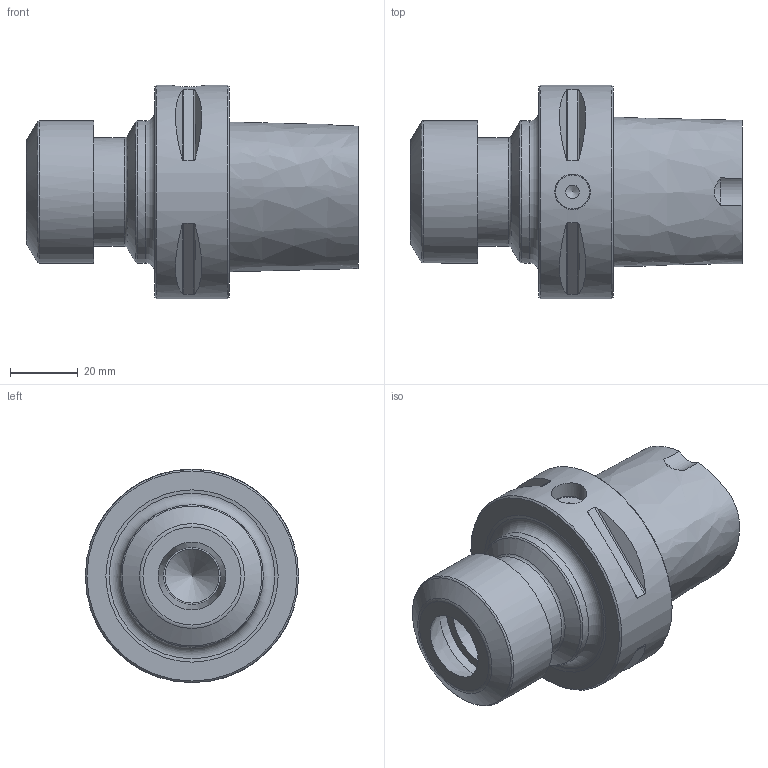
import cadquery as cq
import math

nose_x = -60.0
nut_length = 20.0
collar_start_x = -30.45
flange_width = 22.0
shank_length = 38.0

nut_radius = 42.0 / 2
neck_radius = 32.0 / 2
collar_radius = nut_radius
flange_radius = 63.0 / 2
nose_face_radius = 15.0
nose_cone_slope = 60.0
collar_cone_slope = 60.0

nose_inner_round = 2.0
nose_outer_round = 0.7
collar_inner_round = 1.0
collar_outer_round = 0.7
flange_chamfer = 0.5

relief_radius = 3.0
relief_depth = 0.14
relief_angle = 8.0

nut_mouth_radius = 20.0 / 2
nut_thread_radius = 30.5 / 2
nut_cone_angle = 30.0
seat_face_depth = 11.9
seat_mouth_radius = 12.5
seat_angle = 8.0
seat_end_radius = 8.45
drill_radius = 8.0
drill_length = 2.0
drill_tip_angle = 90.0

shank_base_diameter = 44.2
shank_taper = 1 / 20
lobe_height = 1.45
lobe_curve_points = 48

flange_feature_x = -12.0
groove_floor_offset = 27.8
groove_floor_width = 3.5
groove_floor_round = 0.5
groove_wall_slope = 30.0
groove_angles = (45, 135, 225, 315)
flange_hole_diameter = 10.5
flange_hole_depth = 5.0
floor_recess_diameter = 10.0
floor_recess_depth = 0.1
center_hole_diameter = 4.0
center_tip_angle = 118.0

notch_diameter = 12.0
notch_length = 6.3
notch_tip_angle = 90.0
notch_axis_height = 23.95

nut_back_x = nose_x + nut_length
flange_front_x = -flange_width
seat_face_x = nose_x + seat_face_depth


def cone_run(rise, angle):
    """Axial length of a cone that changes radius by rise at an angle from the axis."""
    return rise / math.tan(math.radians(angle))


def revolve_outline(outline):
    """Close a half outline drawn with X along the axis and Y as radius, and spin it."""
    return outline.close().revolve(360, (0, 0, 0), (1, 0, 0))


def round_ring(body, x, radius, round_radius):
    """Round the circular edge that lies at position x with the given radius."""
    margin = 0.01
    ring_box = cq.selectors.BoxSelector(
        (x - margin, -radius - margin, -radius - margin),
        (x + margin, radius + margin, radius + margin),
        boundingbox=True,
    )
    ring = body.edges(ring_box).edges(cq.selectors.RadiusNthSelector(-1))
    return ring.fillet(round_radius)


def turned_body():
    nose_cone_end_x = nose_x + cone_run(nut_radius - nose_face_radius, nose_cone_slope)
    collar_cone_end_x = collar_start_x + cone_run(collar_radius - neck_radius, collar_cone_slope)

    slope = math.radians(relief_angle)
    relief_end_x = flange_front_x + relief_depth
    relief_center_x = relief_end_x - relief_radius * math.cos(slope)
    relief_center_radius = collar_radius + relief_radius
    relief_end_radius = relief_center_radius + relief_radius * math.sin(slope)
    half_sweep = (slope - math.pi / 2) / 2
    relief_mid = (
        relief_center_x + relief_radius * math.cos(half_sweep),
        relief_center_radius + relief_radius * math.sin(half_sweep),
    )
    relief_rim_radius = relief_end_radius + relief_depth / math.tan(slope)

    outline = (
        cq.Workplane("XY")
        .moveTo(nose_x, 0)
        .lineTo(nose_x, nose_face_radius)
        .lineTo(nose_cone_end_x, nut_radius)
        .lineTo(nut_back_x, nut_radius)
        .lineTo(nut_back_x, neck_radius)
        .lineTo(collar_start_x, neck_radius)
        .lineTo(collar_cone_end_x, collar_radius)
        .lineTo(relief_center_x, collar_radius)
        .threePointArc(relief_mid, (relief_end_x, relief_end_radius))
        .lineTo(flange_front_x, relief_rim_radius)
        .lineTo(flange_front_x, flange_radius - flange_chamfer)
        .lineTo(flange_front_x + flange_chamfer, flange_radius)
        .lineTo(-flange_chamfer, flange_radius)
        .lineTo(0, flange_radius - flange_chamfer)
        .lineTo(0, 0)
    )
    body = revolve_outline(outline)
    body = round_ring(body, nose_x, nose_face_radius, nose_inner_round)
    body = round_ring(body, nose_cone_end_x, nut_radius, nose_outer_round)
    body = round_ring(body, collar_start_x, neck_radius, collar_inner_round)
    return round_ring(body, collar_cone_end_x, collar_radius, collar_outer_round)


def lobed_wire(x, mean_diameter):
    """Three-lobed curve of constant width across the axis at x, one lobe pointing to -Z."""
    points = []
    for step in range(lobe_curve_points):
        t = 2 * math.pi * step / lobe_curve_points
        y = mean_diameter / 2 * math.sin(t) - lobe_height * (2 * math.sin(2 * t) + math.sin(4 * t))
        z = -mean_diameter / 2 * math.cos(t) - lobe_height * (2 * math.cos(2 * t) - math.cos(4 * t))
        points.append(cq.Vector(x, y, z))
    curve = cq.Edge.makeSpline(points, periodic=True)
    return cq.Wire.assembleEdges([curve])


def shank():
    end_diameter = shank_base_diameter - shank_taper * shank_length
    base = lobed_wire(0, shank_base_diameter)
    end = lobed_wire(shank_length, end_diameter)
    return cq.Workplane(cq.Solid.makeLoft([base, end], True))


def collet_bore():
    nut_cone_end_x = nose_x + cone_run(nut_thread_radius - nut_mouth_radius, nut_cone_angle)
    seat_end_x = seat_face_x + cone_run(seat_mouth_radius - seat_end_radius, seat_angle)
    drill_end_x = seat_end_x + drill_length
    tip_x = drill_end_x + cone_run(drill_radius, drill_tip_angle / 2)
    outline = (
        cq.Workplane("XY")
        .moveTo(nose_x, 0)
        .lineTo(nose_x, nut_mouth_radius)
        .lineTo(nut_cone_end_x, nut_thread_radius)
        .lineTo(seat_face_x, nut_thread_radius)
        .lineTo(seat_face_x, seat_mouth_radius)
        .lineTo(seat_end_x, seat_end_radius)
        .lineTo(seat_end_x, drill_radius)
        .lineTo(drill_end_x, drill_radius)
        .lineTo(tip_x, 0)
    )
    return revolve_outline(outline)


def gripper_groove(angle):
    """Straight groove with sloping walls, cut across the flange at an angle about X."""
    depth = flange_radius - groove_floor_offset
    top_width = groove_floor_width + 2 * depth * math.tan(math.radians(groove_wall_slope))
    outline = (
        cq.Workplane("XZ")
        .moveTo(flange_feature_x - groove_floor_width / 2, groove_floor_offset)
        .lineTo(flange_feature_x + groove_floor_width / 2, groove_floor_offset)
        .lineTo(flange_feature_x + top_width / 2, flange_radius)
        .lineTo(flange_feature_x - top_width / 2, flange_radius)
        .close()
    )
    groove = outline.extrude(flange_radius, both=True)
    groove = groove.edges("|Y").edges("<Z").fillet(groove_floor_round)
    return groove.rotate((0, 0, 0), (1, 0, 0), angle)


def flange_hole():
    """Hole in the top of the flange with a shallow stepped floor and a drilled centre."""
    hole_radius = flange_hole_diameter / 2
    recess_radius = floor_recess_diameter / 2
    center_radius = center_hole_diameter / 2
    step_z = flange_radius - flange_hole_depth
    floor_z = step_z - floor_recess_depth
    center_tip_z = floor_z - cone_run(center_radius, center_tip_angle / 2)
    outline = (
        cq.Workplane("XZ")
        .moveTo(0, center_tip_z)
        .lineTo(center_radius, floor_z)
        .lineTo(recess_radius, floor_z)
        .lineTo(recess_radius, step_z)
        .lineTo(hole_radius, step_z)
        .lineTo(hole_radius, flange_radius)
        .lineTo(0, flange_radius)
        .close()
    )
    hole = outline.revolve(360, (0, 0, 0), (0, 1, 0))
    return hole.translate((flange_feature_x, 0, 0))


def end_notch():
    """Round-bottomed notch with a drill-point end, cut lengthwise into the top of the shank."""
    radius = notch_diameter / 2
    straight_end_x = shank_length - notch_length
    tip_x = straight_end_x - cone_run(radius, notch_tip_angle / 2)
    outline = (
        cq.Workplane("XY")
        .moveTo(tip_x, 0)
        .lineTo(straight_end_x, radius)
        .lineTo(shank_length, radius)
        .lineTo(shank_length, 0)
    )
    return revolve_outline(outline).translate((0, 0, notch_axis_height))


result = turned_body().union(shank()).cut(collet_bore())
for groove_angle in groove_angles:
    result = result.cut(gripper_groove(groove_angle))
result = result.cut(flange_hole()).cut(end_notch())